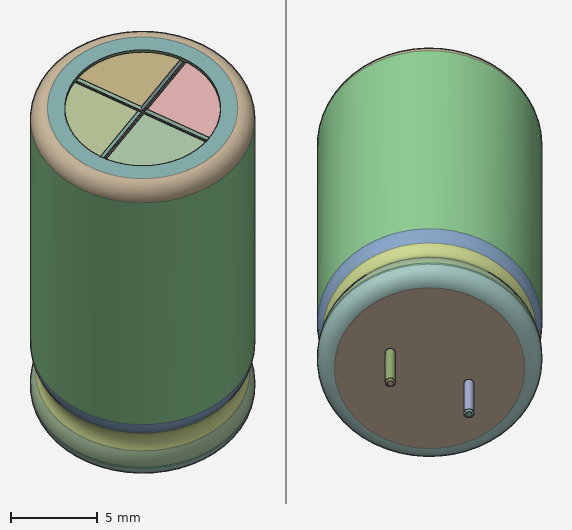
import cadquery as cq
import math

total_height = 28.3
can_height = 25.0
can_diameter = 13.0
edge_radius = 1.0

groove_center = 2.97
groove_depth = 0.5
waist_half_height = 0.75
shoulder_height = 1.08

recess_radius = 4.5
recess_depth = 0.2
score_width = 0.4
score_depth = 0.15
score_floor_width = 0.08

pin_diameter = 0.6
pin_spacing = 5.0
pin_tip_chamfer = 0.1

pin_length = total_height - can_height
can_bottom = pin_length
can_top = total_height
can_radius = can_diameter / 2


def can_body():
    """Revolve the half profile, with three tangent arcs forming the crimp groove."""
    waist_z = can_bottom + groove_center
    arc_height = waist_half_height + shoulder_height
    slope = 2 * math.atan(groove_depth / arc_height)
    waist_arc = waist_half_height / math.sin(slope)
    shoulder_arc = shoulder_height / math.sin(slope)
    waist_radius = can_radius - groove_depth
    joint_radius = waist_radius + waist_arc * (1 - math.cos(slope))

    middle_radius = can_radius - shoulder_arc * (1 - math.cos(slope / 2))
    middle_offset = arc_height - shoulder_arc * math.sin(slope / 2)

    profile = (
        cq.Workplane("XZ")
        .moveTo(0, can_bottom)
        .lineTo(-can_radius + edge_radius, can_bottom)
        .radiusArc((-can_radius, can_bottom + edge_radius), edge_radius)
        .lineTo(-can_radius, waist_z - arc_height)
        .threePointArc(
            (-middle_radius, waist_z - middle_offset),
            (-joint_radius, waist_z - waist_half_height),
        )
        .threePointArc((-waist_radius, waist_z), (-joint_radius, waist_z + waist_half_height))
        .threePointArc((-middle_radius, waist_z + middle_offset), (-can_radius, waist_z + arc_height))
        .lineTo(-can_radius, can_top - edge_radius)
        .radiusArc((-can_radius + edge_radius, can_top), edge_radius)
        .lineTo(0, can_top)
        .close()
    )
    return profile.revolve(360, (0, 0, 0), (0, 1, 0))


def vent_recess():
    """Shallow round recess with a cross of tapered score grooves in its floor."""
    floor_z = can_top - recess_depth
    recess = cq.Workplane("XY").workplane(offset=floor_z).circle(recess_radius).extrude(recess_depth)
    score_limit = (
        cq.Workplane("XY").workplane(offset=floor_z - score_depth).circle(recess_radius).extrude(score_depth)
    )
    for plane in ("XZ", "YZ"):
        score = (
            cq.Workplane(plane)
            .moveTo(-score_width / 2, floor_z)
            .lineTo(score_width / 2, floor_z)
            .lineTo(score_floor_width / 2, floor_z - score_depth)
            .lineTo(-score_floor_width / 2, floor_z - score_depth)
            .close()
            .extrude(recess_radius, both=True)
        )
        recess = recess.union(score.intersect(score_limit))
    return recess


def pins():
    """Two round pins from the bottom face down, with chamfered tips."""
    return (
        cq.Workplane("XY")
        .pushPoints([(-pin_spacing / 2, 0), (pin_spacing / 2, 0)])
        .circle(pin_diameter / 2)
        .extrude(pin_length)
        .faces("<Z")
        .chamfer(pin_tip_chamfer)
    )


result = can_body().cut(vent_recess()).union(pins())